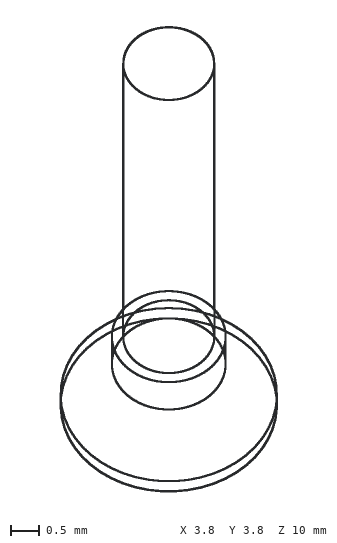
import cadquery as cq

total_height = 10.0
rim_height = 0.3
cone_height = 0.9
collar_height = 0.8

head_diameter = 3.8
collar_diameter = 2.0
shaft_diameter = 1.6

head_radius = head_diameter / 2
collar_radius = collar_diameter / 2
shaft_radius = shaft_diameter / 2

cone_top = rim_height + cone_height
collar_top = cone_top + collar_height

half_profile = (
    cq.Workplane("XZ")
    .moveTo(0, 0)
    .lineTo(head_radius, 0)
    .lineTo(head_radius, rim_height)
    .lineTo(collar_radius, cone_top)
    .lineTo(collar_radius, collar_top)
    .lineTo(shaft_radius, collar_top)
    .lineTo(shaft_radius, total_height)
    .lineTo(0, total_height)
    .close()
)

result = half_profile.revolve(360, (0, 0), (0, 1))